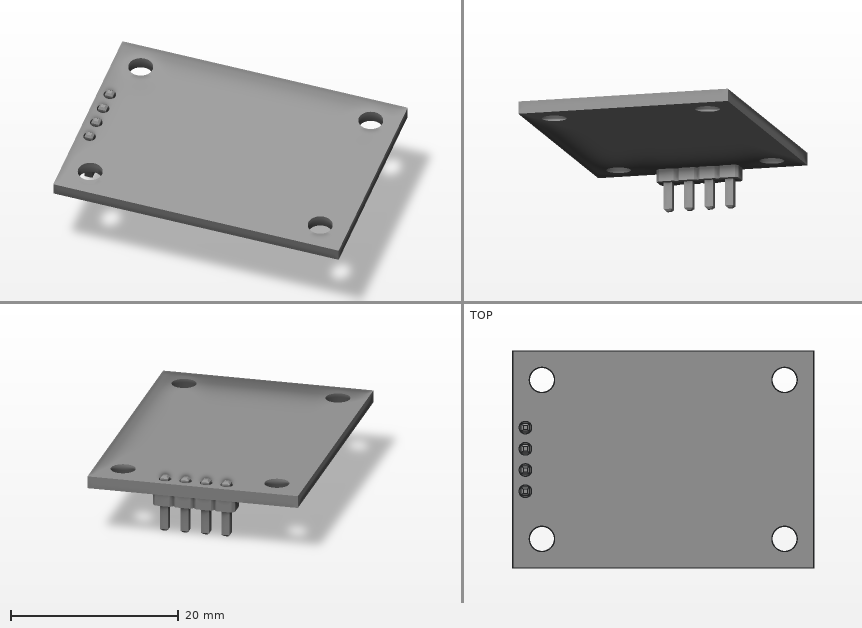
import cadquery as cq

board_length = 36.0
board_width = 26.0
board_thickness = 1.5
mount_hole_diameter = 3.0
mount_hole_inset = 3.5

pin_count = 4
header_length = 10.15
pin_pitch = header_length / pin_count
pin_edge_distance = 1.5
pin_hole_diameter = 1.5
pin_side = 1.0
pin_rise = 0.45
pin_total_length = 7.0
pin_tip_chamfer = 0.25
housing_height = 1.5
housing_corner_chamfer = 0.35

board_bottom = -board_thickness
pin_x = pin_edge_distance - board_length / 2
pin_points = [(pin_x, (i - (pin_count - 1) / 2) * pin_pitch) for i in range(pin_count)]


def make_board():
    """Rectangular plate with four mounting holes and a row of round pin holes."""
    plate = cq.Workplane("XY").box(
        board_length, board_width, board_thickness, centered=(True, True, False)
    )
    plate = plate.translate((0, 0, board_bottom))
    mount_spacing_x = board_length - 2 * mount_hole_inset
    mount_spacing_y = board_width - 2 * mount_hole_inset
    plate = (
        plate.faces(">Z")
        .workplane()
        .rect(mount_spacing_x, mount_spacing_y, forConstruction=True)
        .vertices()
        .hole(mount_hole_diameter)
    )
    return plate.faces(">Z").workplane().pushPoints(pin_points).hole(pin_hole_diameter)


def make_housing_cell(point):
    """Square block under the board with chamfered vertical corners."""
    block = cq.Workplane("XY").box(
        pin_pitch, pin_pitch, housing_height, centered=(True, True, False)
    )
    block = block.edges("|Z").chamfer(housing_corner_chamfer)
    return block.translate((point[0], point[1], board_bottom - housing_height))


def make_pin(point):
    """Square pin through board and housing, tapered at both ends."""
    pin = cq.Workplane("XY").box(
        pin_side, pin_side, pin_total_length, centered=(True, True, False)
    )
    pin = pin.faces("<Z or >Z").chamfer(pin_tip_chamfer)
    return pin.translate((point[0], point[1], pin_rise - pin_total_length))


result = make_board()
for pin_point in pin_points:
    result = result.union(make_housing_cell(pin_point))
    result = result.union(make_pin(pin_point))